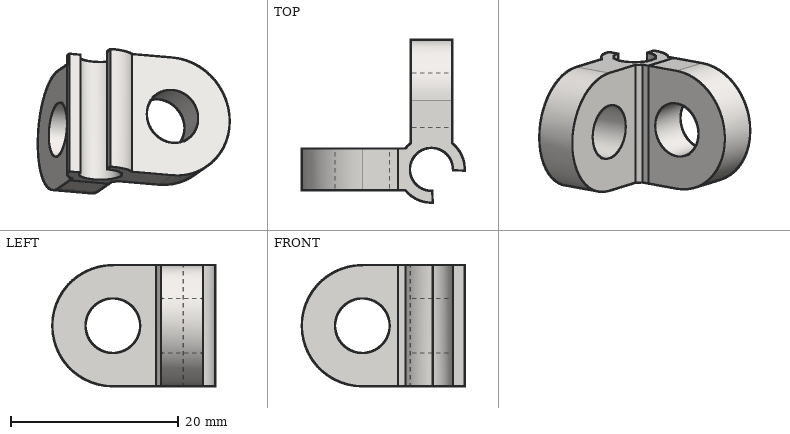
import cadquery as cq

LONGEST_SIDE = 19.5
HEIGHT = 14.5
ARM_THICKNESS = 5.0
HOLE_DIAMETER = 6.5
CLIP_OUTER_RADIUS = 4.0
CLIP_BORE_RADIUS = 2.55
TIP_OVERRUN_ANGLE = 2.5

EYE_RADIUS = HEIGHT / 2
EYE_DISTANCE = LONGEST_SIDE - CLIP_OUTER_RADIUS - EYE_RADIUS
ROOT_DISTANCE = CLIP_OUTER_RADIUS
MOUTH_ANGLE = 90 - 2 * TIP_OVERRUN_ANGLE
MOUTH_REACH = 2 * CLIP_OUTER_RADIUS


def make_arm():
    """Arm with a round eye, pointing along -X from the clip root."""
    blank = (
        cq.Workplane("XZ", origin=(0, ARM_THICKNESS / 2, 0))
        .moveTo(-ROOT_DISTANCE, EYE_RADIUS)
        .lineTo(-EYE_DISTANCE, EYE_RADIUS)
        .threePointArc((-EYE_DISTANCE - EYE_RADIUS, 0), (-EYE_DISTANCE, -EYE_RADIUS))
        .lineTo(-ROOT_DISTANCE, -EYE_RADIUS)
        .close()
        .extrude(ARM_THICKNESS)
    )
    eye_plane = cq.Workplane("XZ", origin=(-EYE_DISTANCE, ARM_THICKNESS / 2, 0))
    hole = eye_plane.circle(HOLE_DIAMETER / 2).extrude(ARM_THICKNESS)
    return blank.cut(hole)


def turn_to_y(shape):
    """Turn a shape pointing along -X so that it points along +Y."""
    return shape.rotate((0, 0, 0), (0, 0, 1), -90)


def make_clip():
    """Open round clip with a short root for each arm."""
    barrel = cq.Workplane("XY").circle(CLIP_OUTER_RADIUS).extrude(HEIGHT / 2, both=True)
    root = cq.Workplane("XY").box(ROOT_DISTANCE, ARM_THICKNESS, HEIGHT)
    root = root.translate((-ROOT_DISTANCE / 2, 0, 0))
    bore = cq.Workplane("XY").circle(CLIP_BORE_RADIUS).extrude(HEIGHT / 2, both=True)

    mouth = (
        cq.Workplane("XY")
        .polarLine(MOUTH_REACH, -TIP_OVERRUN_ANGLE)
        .polarLineTo(MOUTH_REACH, -TIP_OVERRUN_ANGLE - MOUTH_ANGLE)
        .close()
        .extrude(HEIGHT / 2, both=True)
    )
    return barrel.union(root).union(turn_to_y(root)).cut(bore).cut(mouth)


bracket = make_clip().union(turn_to_y(make_arm()))

side_arm = make_arm()

result = cq.Compound.makeCompound([bracket.val(), side_arm.val()])